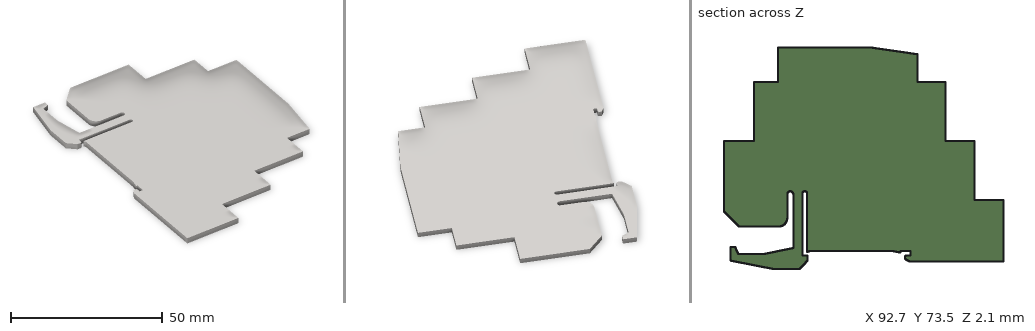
import cadquery as cq
import math

thickness = 2.1
length = 92.7
height = 73.46

base_level = 2.45
lower_step_level = 22.95
middle_step_level = 42.5
upper_step_level = 62.05
lower_right_step = 9.6
middle_right_step = 19.2
upper_right_step = 28.55
left_step_x = 9.95
top_left_x = 17.95
top_slope_start_x = 48.3
top_slope_drop = 2.3

left_corner_level = 19.0
lower_left_level = 13.95
lower_left_chamfer_x = 5.15
inner_corner_radius = 3.1

slot_top_level = 25.7
outer_slot_left = 21.15
outer_slot_right = 22.95
inner_slot_left = 26.1
inner_slot_right = 27.55
arm_root_level = 7.05

foot_left_x = 2.15
foot_tab_level = 7.45
foot_tab_width = 1.65
foot_tab_base_x = 4.9
foot_top_level = 5.0
foot_top_end_x = 13.0
foot_left_level = 2.75
foot_bottom_start_x = 16.2
foot_bottom_end_x = 25.2
foot_hook_x = 27.9
foot_hook_low_level = 2.9
foot_hook_shoulder_level = 4.3
foot_hook_shoulder_x = 27.55
foot_hook_top_level = 4.65

seat_level = 5.9
seat_lip_level = 5.5
seat_lip_end_x = 28.45
barb_start_x = 55.8
barb_end_x = 58.6
barb_level = 5.38
seat_right_x = 61.7
hook_top_level = 4.6
hook_tip_x = 59.95
hook_corner = 0.35
hook_low_level = 3.3
hook_bottom_x = 61.45


def slot_end(outline, start_x, end_x):
    """Close a vertical slot, from start_x to end_x, with a semicircular end."""
    radius = (end_x - start_x) / 2
    spring_level = slot_top_level - radius
    outline = outline.lineTo(start_x, spring_level)
    return outline.threePointArc(((start_x + end_x) / 2, slot_top_level), (end_x, spring_level))


def add_stepped_body(outline):
    """Trace the right, top and left sides, from the base to the inner lower left corner."""
    outline = outline.lineTo(length, base_level)
    outline = outline.lineTo(length, lower_step_level)
    steps = [
        (lower_right_step, middle_step_level),
        (middle_right_step, upper_step_level),
        (upper_right_step, height - top_slope_drop),
    ]
    for inset, wall_top in steps:
        outline = outline.hLineTo(length - inset).vLineTo(wall_top)
    outline = outline.lineTo(top_slope_start_x, height)
    outline = outline.hLineTo(top_left_x).vLineTo(upper_step_level)
    outline = outline.hLineTo(left_step_x).vLineTo(middle_step_level)
    outline = outline.hLineTo(0).vLineTo(left_corner_level)
    outline = outline.lineTo(lower_left_chamfer_x, lower_left_level)
    outline = outline.hLineTo(outer_slot_left - inner_corner_radius)
    arc_offset = inner_corner_radius * (1 - math.sqrt(0.5))
    return outline.threePointArc(
        (outer_slot_left - arc_offset, lower_left_level + arc_offset),
        (outer_slot_left, lower_left_level + inner_corner_radius),
    )


def add_foot(outline):
    """Trace the release foot, from the left to the right side of the spring arm."""
    outline = outline.lineTo(outer_slot_right, arm_root_level)
    outline = outline.lineTo(foot_top_end_x, foot_top_level)
    outline = outline.lineTo(foot_tab_base_x, foot_top_level)
    outline = outline.lineTo(foot_left_x + foot_tab_width, foot_tab_level)
    outline = outline.hLineTo(foot_left_x).vLineTo(foot_left_level)
    outline = outline.lineTo(foot_bottom_start_x, 0)
    outline = outline.lineTo(foot_bottom_end_x, 0)
    outline = outline.lineTo(foot_hook_x, foot_hook_low_level)
    outline = outline.lineTo(foot_hook_x, foot_hook_shoulder_level)
    outline = outline.lineTo(foot_hook_shoulder_x, foot_hook_top_level)
    return outline.lineTo(inner_slot_left, foot_hook_top_level)


def add_rail_seat(outline):
    """Trace the rail seat with its lip and barb, then the fixed hook."""
    outline = outline.lineTo(inner_slot_right, seat_lip_level)
    outline = outline.lineTo(seat_lip_end_x, seat_level)
    outline = outline.lineTo(barb_start_x, seat_level)
    outline = outline.lineTo(barb_end_x, barb_level)
    outline = outline.vLineTo(seat_level).hLineTo(seat_right_x)
    outline = outline.vLineTo(hook_top_level).hLineTo(hook_tip_x + hook_corner)
    outline = outline.lineTo(hook_tip_x, hook_top_level - hook_corner)
    return outline.lineTo(hook_tip_x, hook_low_level)


profile = cq.Workplane("XY").moveTo(hook_bottom_x, base_level)
profile = add_stepped_body(profile)
profile = slot_end(profile, outer_slot_left, outer_slot_right)
profile = add_foot(profile)
profile = slot_end(profile, inner_slot_left, inner_slot_right)
profile = add_rail_seat(profile)

result = profile.close().extrude(thickness)